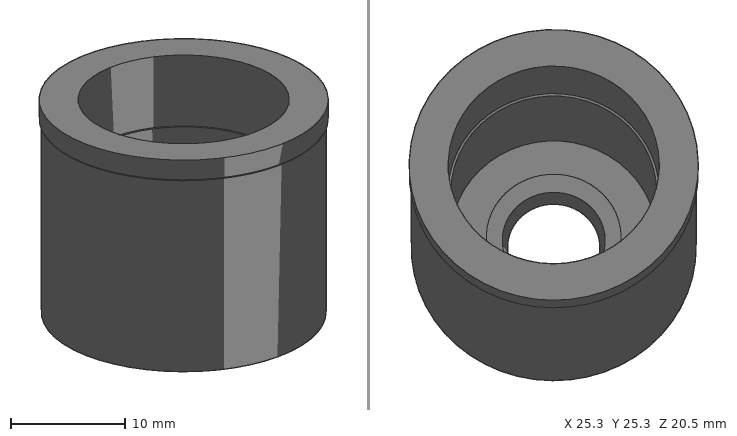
import cadquery as cq

flange_radius = 12.65
body_radius = 12.47
total_height = 20.5
flange_height = 2.07
flange_chamfer = flange_radius - body_radius

upper_bore_radius = 9.23
lower_bore_radius = 9.0
upper_bore_depth = 6.83
floor_thickness = 2.5

hole_radius = 4.02
cone_bottom_radius = 4.5
cone_top_radius = 5.9
cone_depth = 0.8

flange_bottom = total_height - flange_height
bore_step = total_height - upper_bore_depth
cone_bottom = floor_thickness - cone_depth

section = [
    (hole_radius, 0),
    (body_radius, 0),
    (body_radius, flange_bottom),
    (flange_radius, flange_bottom + flange_chamfer),
    (flange_radius, total_height),
    (upper_bore_radius, total_height),
    (upper_bore_radius, bore_step),
    (lower_bore_radius, bore_step),
    (lower_bore_radius, floor_thickness),
    (cone_top_radius, floor_thickness),
    (cone_bottom_radius, cone_bottom),
]

result = cq.Workplane("XZ").polyline(section).close().revolve(360, (0, 0, 0), (0, 1, 0))